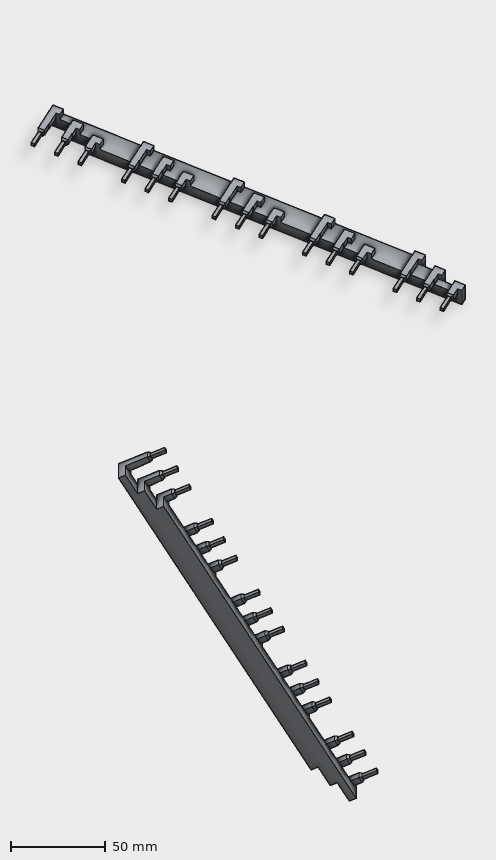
import cadquery as cq

TOTAL_LENGTH = 250.3
RAIL_COUNT = 3
STACK_DEPTH = 12.5
RAIL_HEIGHT = 8.0
RAIL_SHIFT = 14.0

TEETH_PER_RAIL = 5
TOOTH_HEIGHT = 4.3
TAB_WIDTH = 6.3
ARM_WIDTH = 4.0
NECK_WIDTH = 3.8

NECK_END = 17.3
TAPER_END = 18.8
PIN_END = 27.3
TAPER_INSET = 0.5
PIN_WIDTH = 2.0
PIN_HEIGHT = 2.5

RAIL_THICKNESS = STACK_DEPTH / RAIL_COUNT
RAIL_LENGTH = TOTAL_LENGTH - (RAIL_COUNT - 1) * RAIL_SHIFT
TOOTH_PITCH = (RAIL_LENGTH - TAB_WIDTH) / (TEETH_PER_RAIL - 1)


def block(x, width, back, front, z, height):
    """Box between distances `back` and `front` from the back face of the part."""
    return cq.Workplane("XY").box(width, front - back, height, centered=False).translate((x, -front, z))


def make_tooth(x, back):
    """Tooth with its left edge at x, rooted on the rail whose back face is at distance `back`."""
    tooth = block(x, TAB_WIDTH, back, back + RAIL_THICKNESS, RAIL_HEIGHT, TOOTH_HEIGHT)
    tooth = tooth.union(block(x, ARM_WIDTH, back, STACK_DEPTH, RAIL_HEIGHT, TOOTH_HEIGHT))
    tooth = tooth.union(block(x, NECK_WIDTH, back, NECK_END, RAIL_HEIGHT, TOOTH_HEIGHT))

    center_x = x + NECK_WIDTH / 2
    center_z = RAIL_HEIGHT + TOOTH_HEIGHT / 2
    taper = (
        cq.Workplane("XZ", origin=(center_x, -NECK_END, center_z))
        .rect(NECK_WIDTH, TOOTH_HEIGHT)
        .workplane(offset=TAPER_END - NECK_END)
        .rect(NECK_WIDTH - 2 * TAPER_INSET, TOOTH_HEIGHT - 2 * TAPER_INSET)
        .loft(ruled=True)
    )
    pin = block(
        center_x - PIN_WIDTH / 2, PIN_WIDTH, TAPER_END, PIN_END, center_z - PIN_HEIGHT / 2, PIN_HEIGHT
    )
    return tooth.union(taper).union(pin)


def make_rail(index):
    """One rail with its row of teeth."""
    start = index * RAIL_SHIFT
    back = index * RAIL_THICKNESS
    rail = block(start, RAIL_LENGTH, back, back + RAIL_THICKNESS, 0, RAIL_HEIGHT)
    for tooth_index in range(TEETH_PER_RAIL):
        rail = rail.union(make_tooth(start + tooth_index * TOOTH_PITCH, back))
    return rail


result = make_rail(0)
for rail_index in range(1, RAIL_COUNT):
    result = result.union(make_rail(rail_index))
result = result.clean()